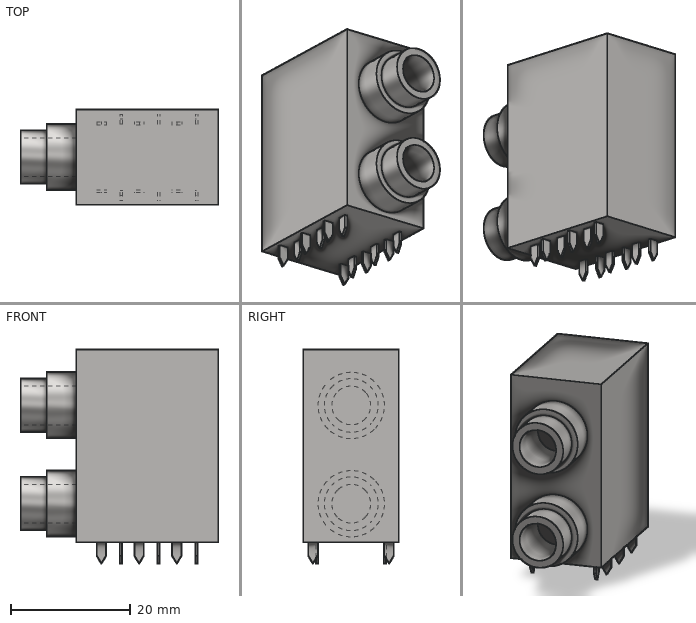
import cadquery as cq

housing_length = 23.85
housing_width = 16.0
housing_height = 32.3

barrel_reach = 9.3
collar_length = 4.95
collar_diameter = 11.13
nose_diameter = 9.0
bore_diameter = 6.5
bore_depth = barrel_reach
lower_jack_height = 6.5
jack_spacing = 16.48

pin_length = 3.6
pin_tip_length = 1.33
pin_width = 1.6
pin_thickness = 0.43
pin_pitch = 6.32
pins_per_row = 3
lengthwise_pin_start = 4.25
lengthwise_pin_offset = 5.67
crosswise_pin_start = lengthwise_pin_start + 3.25
crosswise_pin_offset = 6.4


def front_cylinder(diameter, length, height):
    """Cylinder reaching forward (-X) from the housing's front face."""
    plane = cq.Plane(origin=(0, 0, height), xDir=(0, 1, 0), normal=(-1, 0, 0))
    return cq.Workplane(plane).circle(diameter / 2).extrude(length)


def jack(height):
    """Stepped barrel with a blind bore ending at the housing's front face."""
    collar = front_cylinder(collar_diameter, collar_length, height)
    nose = front_cylinder(nose_diameter, barrel_reach, height)
    bore = front_cylinder(bore_diameter, bore_depth, height)
    return collar.union(nose).cut(bore)


def pin():
    """Pointed blade hanging from the origin, wide along X and thin along Y."""
    half_width = pin_width / 2
    shoulder = pin_tip_length - pin_length
    outline = [
        (-half_width, 0),
        (half_width, 0),
        (half_width, shoulder),
        (0, -pin_length),
        (-half_width, shoulder),
    ]
    return cq.Workplane("XZ").polyline(outline).close().extrude(pin_thickness / 2, both=True)


lengthwise_pin = pin()
crosswise_pin = lengthwise_pin.rotate((0, 0, 0), (0, 0, 1), 90)

result = cq.Workplane("XY").box(
    housing_length, housing_width, housing_height, centered=(False, True, False)
)

for jack_index in range(2):
    result = result.union(jack(lower_jack_height + jack_index * jack_spacing))

for pin_index in range(pins_per_row):
    row_distance = pin_index * pin_pitch
    for side in (-1, 1):
        lengthwise_place = (lengthwise_pin_start + row_distance, side * lengthwise_pin_offset, 0)
        crosswise_place = (crosswise_pin_start + row_distance, side * crosswise_pin_offset, 0)
        result = result.union(lengthwise_pin.translate(lengthwise_place))
        result = result.union(crosswise_pin.translate(crosswise_place))